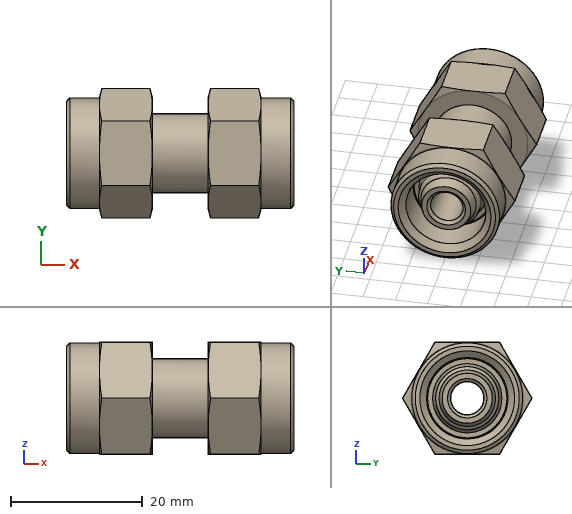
import cadquery as cq
import math

total_length = 34.5
nut_length = 13.0
hex_length = 8.0
collar_length = nut_length - hex_length
tip_recess = 1.25
shoulder_depth = 6.45
half_length = total_length / 2

hex_across_flats = 17.0
hex_across_corners = hex_across_flats / math.cos(math.radians(30))
hex_bevel_angle = 15.0
collar_radius = 16.8 / 2
collar_chamfer = 0.52
mouth_chamfer = 1.0
bore_radius = 6.18

shaft_radius = 6.0
passage_radius = 5.0 / 2
passage_chamfer = 0.5
nipple_taper = 15.0
tip_radius = 3.8
front_cone_radius = 4.28
land_round = 1.0
land_radius = 4.8
rear_cone_radius = 5.25


def make_nut():
    """Hexagonal union nut at the -X end, with its open mouth facing -X."""
    open_end = -half_length
    hex_start = open_end + collar_length
    hex_end = open_end + nut_length
    flat_radius = hex_across_flats / 2
    corner_radius = hex_across_corners / 2
    bevel_length = (corner_radius - flat_radius) * math.tan(math.radians(hex_bevel_angle))

    hexagon = cq.Workplane("YZ", origin=(hex_start, 0, 0)).polygon(6, hex_across_corners).extrude(hex_length)
    bevel_envelope = (
        cq.Workplane("XY")
        .moveTo(hex_start, 0)
        .lineTo(hex_start, flat_radius)
        .lineTo(hex_start + bevel_length, corner_radius)
        .lineTo(hex_end - bevel_length, corner_radius)
        .lineTo(hex_end, flat_radius)
        .lineTo(hex_end, 0)
        .close()
        .revolve(360, (0, 0, 0), (1, 0, 0))
    )
    collar = (
        cq.Workplane("YZ", origin=(open_end, 0, 0))
        .circle(collar_radius)
        .extrude(collar_length)
        .faces("<X")
        .chamfer(collar_chamfer)
    )
    opening = (
        cq.Workplane("XY")
        .moveTo(open_end, 0)
        .lineTo(open_end, bore_radius + mouth_chamfer)
        .lineTo(open_end + mouth_chamfer, bore_radius)
        .lineTo(open_end + shoulder_depth, bore_radius)
        .lineTo(open_end + shoulder_depth, shaft_radius)
        .lineTo(hex_end, shaft_radius)
        .lineTo(hex_end, 0)
        .close()
        .revolve(360, (0, 0, 0), (1, 0, 0))
    )
    return hexagon.intersect(bevel_envelope).union(collar).cut(opening)


def make_nipple():
    """Solid stepped nipple at the -X end, from its tip to the shoulder of the shaft."""
    tip = -half_length + tip_recess
    taper = math.radians(nipple_taper)
    front_cone_end = tip + (front_cone_radius - tip_radius) / math.tan(taper)

    lead_angle = math.asin(1 - (land_radius - front_cone_radius) / land_round)
    middle_angle = (lead_angle + math.pi / 2) / 2
    land_start = front_cone_end + land_round * math.cos(lead_angle)
    rounding_middle = (
        land_start - land_round * math.cos(middle_angle),
        land_radius - land_round * (1 - math.sin(middle_angle)),
    )
    shoulder = -half_length + shoulder_depth
    land_end = shoulder - (rear_cone_radius - land_radius) / math.tan(taper)

    return (
        cq.Workplane("XY")
        .moveTo(tip, 0)
        .lineTo(tip, tip_radius)
        .lineTo(front_cone_end, front_cone_radius)
        .threePointArc(rounding_middle, (land_start, land_radius))
        .lineTo(land_end, land_radius)
        .lineTo(shoulder, rear_cone_radius)
        .lineTo(shoulder, 0)
        .close()
        .revolve(360, (0, 0, 0), (1, 0, 0))
    )


def make_body():
    """Tube with a stepped nipple at each end and a chamfered passage right through."""
    nipple = make_nipple()
    shaft_length = total_length - 2 * shoulder_depth
    shaft = cq.Workplane("YZ", origin=(-shaft_length / 2, 0, 0)).circle(shaft_radius).extrude(shaft_length)
    passage = cq.Workplane("YZ", origin=(-half_length, 0, 0)).circle(passage_radius).extrude(total_length)
    return (
        shaft.union(nipple)
        .union(nipple.mirror("YZ"))
        .cut(passage)
        .faces("<X or >X")
        .edges(cq.selectors.RadiusNthSelector(0))
        .chamfer(passage_chamfer)
    )


body = make_body()
nuts = [make_nut().rotate((0, 0, 0), (0, 0, 1), turn) for turn in (0, 180)]

result = cq.Compound.makeCompound([body.val(), *[nut.val() for nut in nuts]])